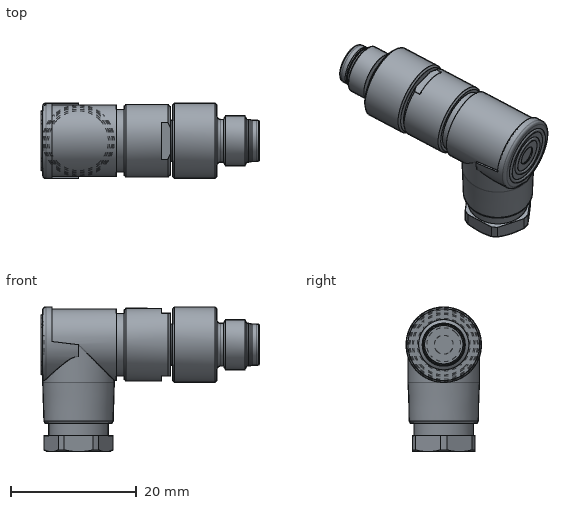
import cadquery as cq
import math


total_length = 34.8
leg_bottom_z = -17.0

cap_radius = 6.0
cap_face_x = 0.3
cap_end_x = 1.8
cap_edge_fillet = 0.5
cap_skirt_edge_z = 0.5
decor_ring_radii = (3.0, 4.5)
decor_ring_width = 0.6
badge_radius = 1.5
badge_depth = 0.2

body_radius = 5.7
body_end_x = 12.0
collar_radius = 5.0

sleeve_radius = 5.8
sleeve_start_x = 13.25
sleeve_end_x = 20.65
sleeve_rear_chamfer = 0.3
sleeve_front_chamfer = 0.45
flat_start_x = 19.2
flat_half_distance = 5.0

gap_neck_radius = 3.3
gap_neck_chamfer = 0.1

coupling_radius = 6.0
coupling_start_x = 20.95
coupling_end_x = 28.0
coupling_chamfer = 0.3

tip_neck_radius = 3.425
tip_neck_fillet = 0.55
tip_collar_radius = 4.0
tip_collar_start_x = 29.05
tip_collar_end_x = 32.75
tip_collar_bevel_length = 0.33
tip_step_x = 33.05
tip_step_radius = 3.4
tip_taper_start_x = 33.25
tip_taper_end_x = 33.55
tip_radius = 3.3
tip_lead_in_x = 34.25
tip_lead_in_radius = 3.25
tip_end_chamfer = 0.2

leg_radius = body_radius
leg_axis_x = cap_face_x + leg_radius
leg_taper_start_z = -cap_radius
leg_taper_end_z = -12.1
leg_shell_end_z = -12.5
leg_taper_radius = 5.52
leg_end_bevel_depth = 0.2
leg_neck_radius = 4.75

nut_top_z = -14.45
nut_across_flats = 10.0
nut_corner_radius = 5.5
nut_bevel_angle = 30.0
nut_turn = 30.0


def revolve_about_x(profile):
    """Revolve an (x, radius) profile drawn on XZ about the plug axis."""
    return profile.close().revolve(360, (0, 0, 0), (1, 0, 0))


def x_cylinder(radius, start_x, end_x):
    return cq.Workplane("YZ").workplane(offset=start_x).circle(radius).extrude(end_x - start_x)


def make_cap():
    cap = x_cylinder(cap_radius, cap_face_x, cap_end_x).faces("<X").edges().fillet(cap_edge_fillet)
    return cap.union(make_cap_tip()).union(make_cap_skirt())


def make_cap_tip():
    """Pointed extension of the flat cap face, tangent to its rim and ending at the leg."""
    rim_radius = cap_radius - cap_edge_fillet
    tangent_angle = math.acos(rim_radius / cap_radius)
    tangent_y = rim_radius * math.sin(tangent_angle)
    tangent_z = -rim_radius * math.cos(tangent_angle)
    return (
        cq.Workplane("YZ")
        .workplane(offset=cap_face_x)
        .polyline([(-tangent_y, tangent_z), (0, -cap_radius), (tangent_y, tangent_z)])
        .close()
        .extrude(cap_edge_fillet)
    )


def make_cap_skirt():
    """Lower shell of the cap that reaches back to the leg axis under a sloped edge."""
    below_slope = (
        cq.Workplane("XZ")
        .moveTo(cap_end_x, cap_skirt_edge_z)
        .lineTo(leg_axis_x, 0)
        .lineTo(leg_axis_x, -cap_radius)
        .lineTo(cap_end_x, -cap_radius)
        .close()
        .extrude(cap_radius, both=True)
    )
    return x_cylinder(cap_radius, cap_end_x, leg_axis_x).intersect(below_slope)


def make_decor_ring(centre_radius):
    """Raised ring with a rounded crest on the cap face."""
    inner = centre_radius - decor_ring_width / 2
    outer = centre_radius + decor_ring_width / 2
    return revolve_about_x(
        cq.Workplane("XZ")
        .moveTo(cap_end_x, inner)
        .lineTo(cap_face_x, inner)
        .threePointArc((0, centre_radius), (cap_face_x, outer))
        .lineTo(cap_end_x, outer)
    )


def make_sleeve():
    sleeve = x_cylinder(sleeve_radius, sleeve_start_x, sleeve_end_x)
    sleeve = sleeve.faces("<X").chamfer(sleeve_rear_chamfer)
    sleeve = sleeve.faces(">X").chamfer(sleeve_front_chamfer)
    flat_length = sleeve_end_x - flat_start_x
    flat_depth = sleeve_radius - flat_half_distance
    for side in (-1, 1):
        flat_cut = cq.Workplane("XY").box(flat_length, 2 * sleeve_radius, flat_depth).translate(
            ((flat_start_x + sleeve_end_x) / 2, 0, side * (flat_half_distance + flat_depth / 2))
        )
        sleeve = sleeve.cut(flat_cut)
    return sleeve


def make_gap_neck():
    neck = x_cylinder(gap_neck_radius, sleeve_end_x, coupling_start_x)
    return neck.faces(">X").chamfer(gap_neck_chamfer)


def make_coupling():
    coupling = x_cylinder(coupling_radius, coupling_start_x, coupling_end_x)
    return coupling.faces("<X or >X").chamfer(coupling_chamfer)


def make_plug_tip():
    arc_offset = tip_neck_fillet * (1 - math.sqrt(0.5))
    return revolve_about_x(
        cq.Workplane("XZ")
        .moveTo(coupling_end_x, 0)
        .lineTo(coupling_end_x, tip_neck_radius + tip_neck_fillet)
        .threePointArc(
            (coupling_end_x + arc_offset, tip_neck_radius + arc_offset),
            (coupling_end_x + tip_neck_fillet, tip_neck_radius),
        )
        .lineTo(tip_collar_start_x, tip_neck_radius)
        .lineTo(tip_collar_start_x + tip_collar_bevel_length, tip_collar_radius)
        .lineTo(tip_collar_end_x - tip_collar_bevel_length, tip_collar_radius)
        .lineTo(tip_collar_end_x, tip_neck_radius)
        .lineTo(tip_step_x, tip_neck_radius)
        .lineTo(tip_step_x, tip_step_radius)
        .lineTo(tip_taper_start_x, tip_step_radius)
        .lineTo(tip_taper_end_x, tip_radius)
        .lineTo(tip_lead_in_x, tip_radius)
        .lineTo(total_length - tip_end_chamfer, tip_lead_in_radius)
        .lineTo(total_length, tip_lead_in_radius - tip_end_chamfer)
        .lineTo(total_length, 0)
    )


def make_leg():
    """Round cable leg: cylinder, slight taper, bevelled end and a thinner neck down to the nut."""
    return (
        cq.Workplane("XZ", origin=(leg_axis_x, 0, 0))
        .lineTo(leg_radius, 0)
        .lineTo(leg_radius, leg_taper_start_z)
        .lineTo(leg_taper_radius, leg_taper_end_z)
        .lineTo(leg_taper_radius - leg_end_bevel_depth, leg_shell_end_z)
        .lineTo(leg_neck_radius, leg_shell_end_z)
        .lineTo(leg_neck_radius, nut_top_z)
        .lineTo(0, nut_top_z)
        .close()
        .revolve(360, (0, 0, 0), (0, 1, 0))
    )


def make_nut():
    """Hexagon with corners turned round and a bevelled lower edge."""
    hexagon = (
        cq.Workplane("XY", origin=(leg_axis_x, 0, leg_bottom_z))
        .polygon(6, nut_across_flats, circumscribed=True)
        .extrude(nut_top_z - leg_bottom_z)
        .rotate((leg_axis_x, 0, 0), (leg_axis_x, 0, 1), nut_turn)
    )
    bevel_radius = nut_across_flats / 2
    bevel_height = (nut_corner_radius - bevel_radius) * math.tan(math.radians(nut_bevel_angle))
    turned_blank = (
        cq.Workplane("XZ", origin=(leg_axis_x, 0, 0))
        .moveTo(0, leg_bottom_z)
        .lineTo(bevel_radius, leg_bottom_z)
        .lineTo(nut_corner_radius, leg_bottom_z + bevel_height)
        .lineTo(nut_corner_radius, nut_top_z)
        .lineTo(0, nut_top_z)
        .close()
        .revolve(360, (0, 0, 0), (0, 1, 0))
    )
    return hexagon.intersect(turned_blank)


result = make_cap()
for ring_radius in decor_ring_radii:
    result = result.union(make_decor_ring(ring_radius))
result = (
    result.union(x_cylinder(body_radius, cap_end_x, body_end_x))
    .union(x_cylinder(collar_radius, body_end_x, sleeve_start_x))
    .union(make_sleeve())
    .union(make_gap_neck())
    .union(make_coupling())
    .union(make_plug_tip())
    .union(make_leg())
    .union(make_nut())
    .cut(x_cylinder(badge_radius, cap_face_x, cap_face_x + badge_depth))
)